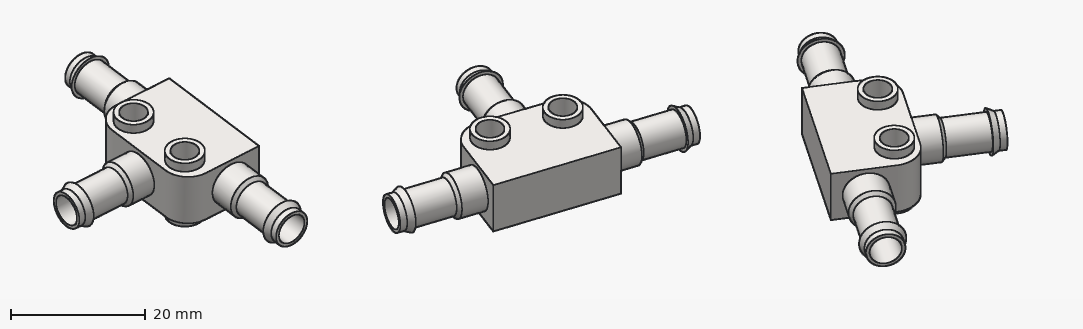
import cadquery as cq

overall_length = 49.4

body_length = 21.05
body_depth = 14.45
body_height = 8.8
back_offset = 5.4
corner_radius = 4.3
front_offset = body_depth - back_offset

port_diameter = 6.05
shoulder_diameter = 7.2
bore_diameter = 4.9
shoulder_chamfer = (shoulder_diameter - port_diameter) / 2
shoulder_from_tip = 9.9
tip_length = 1.15
barb_length = 1.15
run_reach = overall_length / 2
branch_reach = 23.0

boss_diameter = 6.0
boss_hole_diameter = 4.3
boss_height = 12.0
boss_spacing = 12.0
boss_offset = 5.2


def make_body():
    """Block with its two front vertical corners rounded."""
    center_y = (back_offset - front_offset) / 2
    block = cq.Workplane("XY").box(body_length, body_depth, body_height)
    block = block.edges("|Z and <Y").fillet(corner_radius)
    return block.translate((0, center_y, 0))


def make_port(reach, root):
    """Barbed port along +X, from the root at the body face to the tip at reach."""
    port_radius = port_diameter / 2
    shoulder_radius = shoulder_diameter / 2
    shoulder_end = reach - shoulder_from_tip
    barb_end = reach - tip_length
    barb_start = barb_end - barb_length
    return (
        cq.Workplane("XY")
        .moveTo(root, 0)
        .lineTo(root, shoulder_radius)
        .lineTo(shoulder_end, shoulder_radius)
        .lineTo(shoulder_end + shoulder_chamfer, port_radius)
        .lineTo(barb_start, port_radius)
        .lineTo(barb_start, shoulder_radius)
        .lineTo(barb_end, port_radius)
        .lineTo(reach, port_radius)
        .lineTo(reach, 0)
        .close()
        .revolve(360, (0, 0, 0), (1, 0, 0))
    )


def make_bore(reach):
    """Passage along +X from the crossing point to a port tip."""
    return cq.Workplane("YZ").circle(bore_diameter / 2).extrude(reach)


def make_boss_cylinders(diameter):
    """Pair of vertical cylinders spanning the full boss height."""
    centers = [(-boss_spacing / 2, -boss_offset), (boss_spacing / 2, -boss_offset)]
    return (
        cq.Workplane("XY")
        .workplane(offset=-boss_height / 2)
        .pushPoints(centers)
        .circle(diameter / 2)
        .extrude(boss_height)
    )


ports = [
    (0, run_reach, body_length / 2),
    (180, run_reach, body_length / 2),
    (-90, branch_reach, front_offset),
]

result = make_body().union(make_boss_cylinders(boss_diameter))
for angle, reach, root in ports:
    result = result.union(make_port(reach, root).rotate((0, 0, 0), (0, 0, 1), angle))

for angle, reach, _ in ports:
    result = result.cut(make_bore(reach).rotate((0, 0, 0), (0, 0, 1), angle))
result = result.cut(make_boss_cylinders(boss_hole_diameter))